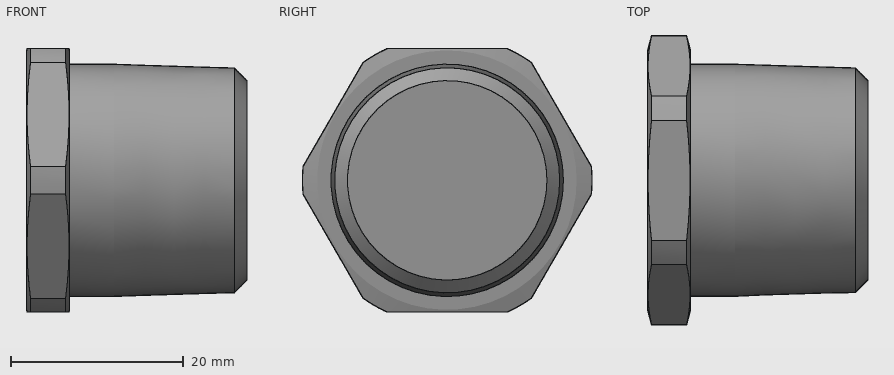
import cadquery as cq
import math

total_length = 25.5
head_thickness = 5.0
across_flats = 30.5
head_diameter = 33.53
head_face_diameter = 30.0
head_chamfer_angle = 15.0
body_diameter = 26.9
collar_length = 5.15
taper_ratio = 1 / 16
end_chamfer = 1.48

hexagon_diameter = across_flats / math.cos(math.radians(30))
head_radius = head_diameter / 2
head_face_radius = head_face_diameter / 2
head_chamfer_depth = (head_radius - head_face_radius) * math.tan(math.radians(head_chamfer_angle))
body_radius = body_diameter / 2
taper_start = head_thickness + collar_length
taper_end = total_length - end_chamfer
taper_end_radius = body_radius - (taper_end - taper_start) * taper_ratio / 2


def revolve_about_x(points):
    """Revolve a closed (x, radius) profile about the X axis."""
    return cq.Workplane("XY").polyline(points).close().revolve(360, (0, 0, 0), (1, 0, 0))


def make_head():
    """Hexagon with corners on Y, trimmed by a disc chamfered on both faces."""
    hexagon = cq.Workplane("YZ").polygon(6, hexagon_diameter).extrude(head_thickness)
    chamfered_disc = revolve_about_x([
        (0, 0),
        (0, head_face_radius),
        (head_chamfer_depth, head_radius),
        (head_thickness - head_chamfer_depth, head_radius),
        (head_thickness, head_face_radius),
        (head_thickness, 0),
    ])
    return hexagon.intersect(chamfered_disc)


def make_body():
    """Straight collar, tapered shank and chamfered end."""
    return revolve_about_x([
        (head_thickness, 0),
        (head_thickness, body_radius),
        (taper_start, body_radius),
        (taper_end, taper_end_radius),
        (total_length, taper_end_radius - end_chamfer),
        (total_length, 0),
    ])


result = make_head().union(make_body())